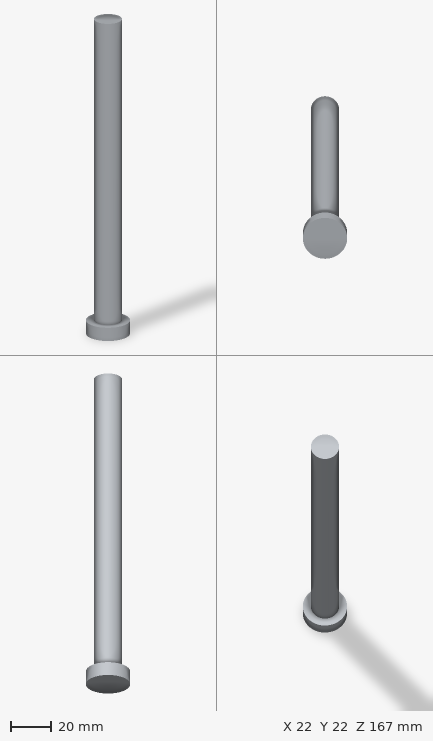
import cadquery as cq

total_length = 167.0
head_diameter = 22.0
head_height = 7.0
shank_diameter = 14.0

head = cq.Workplane("XY").circle(head_diameter / 2).extrude(head_height)
shank = cq.Workplane("XY").circle(shank_diameter / 2).extrude(total_length)

result = head.union(shank)